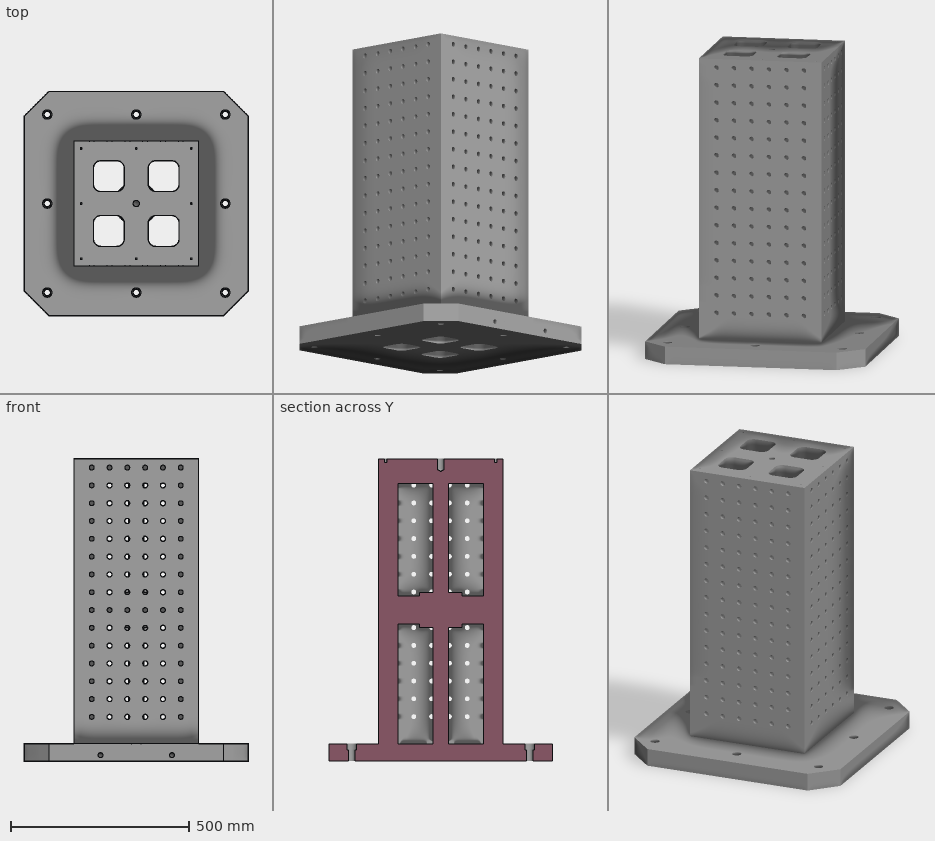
import cadquery as cq
import math

total_height = 850.0
base_side = 630.0
base_thickness = 50.0
base_chamfer = 70.0
column_side = 350.0
column_height = total_height - base_thickness

grid_columns = 6
grid_rows = 15
grid_pitch = column_height / (grid_rows + 1)
grid_hole_diameter = 14.0
top_row = 0
middle_row = 8
shallow_hole_depth = 30.0

cavity_half = 120.0
opening_inner = 34.0
opening_fillet = 20.0
post_half = 22.0
recess_outer_fillet = 10.0
wall_thickness = column_side / 2 - cavity_half
top_plate_thickness = 70.0
opening_depth = 59.5
middle_plate_thickness = 80.0
middle_boss_height = 100.0
middle_boss_diameter = 121.0

centre_hole_diameter = 18.0
centre_hole_depth = 30.0
pin_hole_diameter = 5.0
pin_hole_depth = 10.0
pin_hole_offset = 155.0

bolt_offset = 250.0
bolt_diameter = 18.0
counterbore_diameter = 26.0
counterbore_depth = 17.0
side_hole_diameter = 14.0
side_hole_depth = 30.0
side_hole_offset = 100.0
side_hole_z = 18.0
drill_point_angle = 118.0


def box_between(side, z_low, z_high):
    """Square block centred on the column axis."""
    return cq.Workplane("XY").workplane(offset=z_low).rect(side, side).extrude(z_high - z_low)


def drill(start, direction, diameter, depth, pointed=False):
    """Drilled hole as a solid, with a conical end if it is pointed."""
    axis = cq.Vector(*direction)
    hole = cq.Solid.makeCylinder(diameter / 2, depth, cq.Vector(*start), axis)
    if pointed:
        tip = diameter / 2 / math.tan(math.radians(drill_point_angle / 2))
        cone_start = cq.Vector(*start) + axis * depth
        hole = hole.fuse(cq.Solid.makeCone(diameter / 2, 0, tip, cone_start, axis))
    return hole


def ring_points(offset):
    """Eight points around a square: its corners and the middles of its sides."""
    steps = (-offset, 0, offset)
    return [(x, y) for x in steps for y in steps if (x, y) != (0, 0)]


def make_cavity(z_low, z_high):
    """Hollow chamber around the central post."""
    return box_between(2 * cavity_half, z_low, z_high).cut(box_between(2 * post_half, z_low, z_high))


def quarter_turns(shape):
    """The shape turned about the column axis to all four sides."""
    return [shape.rotate(cq.Vector(0, 0, 0), cq.Vector(0, 0, 1), angle) for angle in (0, 90, 180, 270)]


def make_cells(inner, outer_fillet, z_low, z_high):
    """Four rounded square prisms, one in each quarter of the column.

    The corner nearest the column axis has the opening fillet, the other three the outer fillet.
    """
    side = cavity_half - inner
    middle = inner + side / 2
    cell = cq.Workplane("XY").workplane(offset=z_low).center(middle, middle).rect(side, side)
    cell = cell.extrude(z_high - z_low)
    cell = cell.edges("|Z").edges("<(1, 1, 0)").fillet(opening_fillet)
    cell = cell.edges("|Z").edges(">(1, 1, 0) or >(1, -1, 0) or <(1, -1, 0)").fillet(outer_fillet)
    return cq.Workplane(cq.Compound.makeCompound(quarter_turns(cell.val())))


def row_height(row):
    """Height of a row of face holes, counted from the top."""
    return total_height - (row + 0.5) * grid_pitch


def make_face_holes():
    """Hole grid of the front face, turned onto all four column faces."""
    holes = []
    for row in range(grid_rows):
        z = row_height(row)
        for column in range(grid_columns):
            x = (column - (grid_columns - 1) / 2) * grid_pitch
            blind = row in (top_row, middle_row) or column in (0, grid_columns - 1)
            depth = shallow_hole_depth if blind else wall_thickness
            holes.append(drill((x, -column_side / 2, z), (0, 1, 0), grid_hole_diameter, depth))
    face_grid = cq.Compound.makeCompound(holes)
    return [hole for grid in quarter_turns(face_grid) for hole in grid.Solids()]


base = box_between(base_side, 0, base_thickness).edges("|Z").chamfer(base_chamfer)
body = base.union(box_between(column_side, base_thickness, total_height))

middle_z = row_height(middle_row)
boss = cq.Workplane("XY").workplane(offset=middle_z - middle_boss_height / 2)
boss = boss.circle(middle_boss_diameter / 2).extrude(middle_boss_height)
upper_cavity = make_cavity(middle_z + middle_plate_thickness / 2, total_height - top_plate_thickness)
lower_cavity = make_cavity(base_thickness, middle_z - middle_plate_thickness / 2)
openings = make_cells(opening_inner, opening_fillet, 0, total_height)
top_recess = make_cells(
    post_half, recess_outer_fillet, total_height - top_plate_thickness, total_height - opening_depth
)
body = body.cut(openings).cut(top_recess)
body = body.cut(upper_cavity).cut(lower_cavity).union(boss)

holes = make_face_holes()
down = (0, 0, -1)
holes.append(drill((0, 0, total_height), down, centre_hole_diameter, centre_hole_depth, pointed=True))
for x, y in ring_points(pin_hole_offset):
    holes.append(drill((x, y, total_height), down, pin_hole_diameter, pin_hole_depth))
for x, y in ring_points(bolt_offset):
    holes.append(drill((x, y, base_thickness), down, bolt_diameter, base_thickness))
    holes.append(drill((x, y, base_thickness), down, counterbore_diameter, counterbore_depth))
for x in (-side_hole_offset, side_hole_offset):
    start = (x, -base_side / 2, side_hole_z)
    holes.append(drill(start, (0, 1, 0), side_hole_diameter, side_hole_depth, pointed=True))

result = cq.Workplane(body.val().cut(*holes))